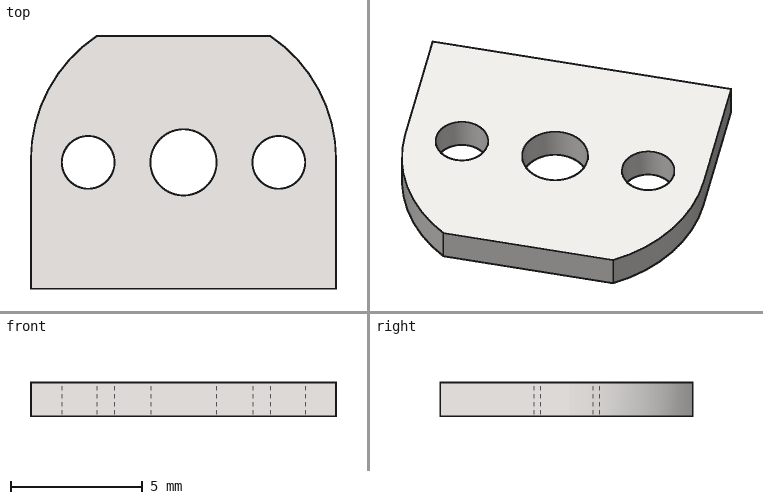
import cadquery as cq
import math

width = 11.6
depth = 9.6
thickness = 1.3
half_width = width / 2
half_depth = depth / 2

shoulder_start_y = 0.1
flat_half_width = 3.3

center_hole_diameter = 2.5
side_hole_diameter = 2.0
side_hole_offset = 3.62

shoulder_inset = half_width - flat_half_width
shoulder_height = half_depth - shoulder_start_y
shoulder_radius = (shoulder_inset**2 + shoulder_height**2) / (2 * shoulder_inset)
shoulder_center_x = half_width - shoulder_radius

half_sweep = math.asin(shoulder_height / shoulder_radius) / 2
shoulder_mid_x = shoulder_center_x + shoulder_radius * math.cos(half_sweep)
shoulder_mid_y = shoulder_start_y + shoulder_radius * math.sin(half_sweep)

plate = (
    cq.Workplane("XY")
    .moveTo(-half_width, -half_depth)
    .lineTo(half_width, -half_depth)
    .lineTo(half_width, shoulder_start_y)
    .threePointArc((shoulder_mid_x, shoulder_mid_y), (flat_half_width, half_depth))
    .lineTo(-flat_half_width, half_depth)
    .threePointArc((-shoulder_mid_x, shoulder_mid_y), (-half_width, shoulder_start_y))
    .close()
    .extrude(thickness)
)

result = (
    plate.faces(">Z")
    .workplane(origin=(0, 0, thickness))
    .hole(center_hole_diameter)
    .faces(">Z")
    .workplane(origin=(0, 0, thickness))
    .pushPoints([(-side_hole_offset, 0), (side_hole_offset, 0)])
    .hole(side_hole_diameter)
)